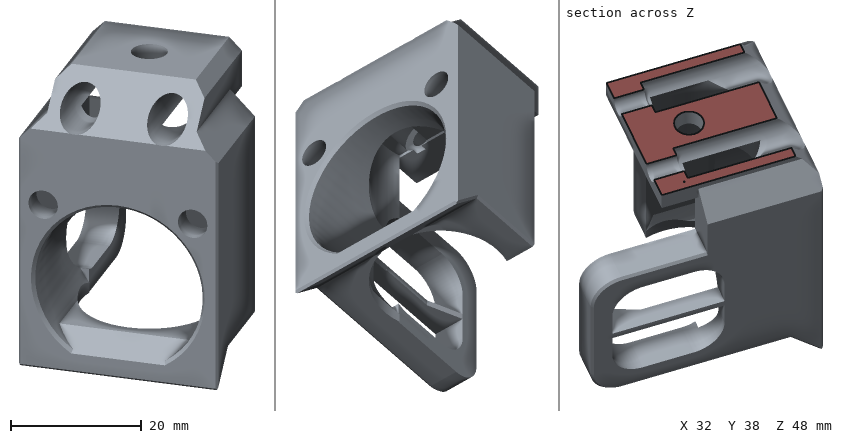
import cadquery as cq


width = 32.0
half_width = width / 2
height = 48
body_depth = 19.0
body_bottom = 5.0
shoulder_bottom = 38.0
edge_chamfer = 0.4

head_half_width = 12
head_depth = 25.0
head_bottom = 40.0
head_chamfer = 2.0
front_slope = height - head_bottom

arm_thickness = 5.35
arm_inner_x = -half_width + arm_thickness
arm_end = 38.0
arm_top = 31.0
corner_radius = 5.0

window_front = 16.25
window_margin = 3.4
window_back = arm_end - window_margin
window_bottom = body_bottom + window_margin
window_top = arm_top - window_margin
window_inner_x = -9.6
bar_height = 1.05
bar_bottom = (window_bottom + window_top - bar_height) / 2
bar_thickness = 3.0
bar_ramp_length = 5.75

opening_z = 15.0
opening_radius = 13.45
opening_chamfer = 0.55
lip_height = 3.2
floor_top = 6.5

thick_wall_front = 8.35
thick_wall_x = 11.75
thick_wall_slant_start = 17.4

cavity_radius = 11.0
cavity_y = 16.0
cavity_top = 40.5
top_hole_upper_radius = 5.65 / 2
top_hole_lower_radius = 4.0 / 2

screw_x = 7.0
screw_z = 43.0
screw_diameter = 3.25
counterbore_diameter = 6.25
counterbore_depth = 20.0

pocket_x = 12
pocket_z = 27.5
pocket_diameter = 4.7
pocket_depth = 4.0


def box(x_range, y_range, z_range):
    """Axis-aligned box between two limits on each axis."""
    size = [high - low for low, high in (x_range, y_range, z_range)]
    corner = (x_range[0], y_range[0], z_range[0])
    return cq.Workplane("XY").box(*size, centered=False).translate(corner)


def cylinder_y(x, z, radius, length):
    """Cylinder running from the front face toward +Y."""
    return cq.Workplane("XZ", origin=(x, 0, z)).circle(radius).extrude(-length)


def make_outer_shape():
    """Body, head and arm, with the chamfers on the outer side edges."""
    shoulder_top = shoulder_bottom + half_width - head_half_width
    front_outline = (
        cq.Workplane("XZ")
        .moveTo(-half_width, -edge_chamfer)
        .lineTo(half_width, -edge_chamfer)
        .lineTo(half_width, shoulder_bottom)
        .lineTo(head_half_width, shoulder_top)
        .lineTo(head_half_width, height - head_chamfer)
        .lineTo(head_half_width - head_chamfer, height)
        .lineTo(head_chamfer - head_half_width, height)
        .lineTo(-head_half_width, height - head_chamfer)
        .lineTo(-head_half_width, shoulder_top)
        .lineTo(-half_width, shoulder_bottom)
        .close()
        .extrude(-head_depth)
    )
    side_outline = (
        cq.Workplane("YZ")
        .moveTo(0, -edge_chamfer)
        .lineTo(edge_chamfer + body_bottom, body_bottom)
        .lineTo(body_depth, body_bottom)
        .lineTo(body_depth, head_bottom)
        .lineTo(head_depth, head_bottom)
        .lineTo(head_depth, height)
        .lineTo(front_slope, height)
        .lineTo(0, head_bottom)
        .close()
        .extrude(half_width, both=True)
    )
    overhang_sides = box((-half_width, half_width), (body_depth, head_depth), (0, height)).cut(
        box((-head_half_width, head_half_width), (body_depth, head_depth), (0, height))
    )
    arm = (
        box((-half_width, arm_inner_x), (body_depth, arm_end), (body_bottom, arm_top))
        .edges("|X and >Y")
        .fillet(corner_radius)
    )
    shape = front_outline.intersect(side_outline).cut(overhang_sides).union(arm).clean()

    def is_chamfered(edge):
        center = edge.Center()
        below_shoulder = center.z < arm_top + edge_chamfer
        on_plain_back = center.x > 0 and center.y > body_depth - edge_chamfer
        return below_shoulder and not on_plain_back

    blunted_tip = (
        cq.Workplane("YZ")
        .moveTo(0, edge_chamfer)
        .lineTo(2 * edge_chamfer, -edge_chamfer)
        .lineTo(0, -edge_chamfer)
        .close()
        .extrude(half_width, both=True)
    )
    side_edges = shape.faces("<X or >X").edges().filter(is_chamfered)
    return side_edges.chamfer(edge_chamfer).cut(blunted_tip)


def make_opening():
    """Round opening with a chamfered rim, sloped lip, flat floor and thick +X wall."""
    rim_radius = opening_radius + opening_chamfer
    opening = cylinder_y(0, opening_z, opening_radius, body_depth)
    rim = cq.Solid.makeCone(
        rim_radius, opening_radius, opening_chamfer, cq.Vector(0, 0, opening_z), cq.Vector(0, 1, 0)
    )
    floor = (
        cq.Workplane("YZ")
        .moveTo(0, 0)
        .lineTo(0, lip_height)
        .lineTo(floor_top - lip_height, floor_top)
        .lineTo(body_depth, floor_top)
        .lineTo(body_depth, 0)
        .close()
        .extrude(half_width, both=True)
    )
    wall_back_x = (cavity_radius**2 - (body_depth - cavity_y)**2)**0.5
    thick_wall = (
        cq.Workplane("XY")
        .moveTo(half_width, thick_wall_front + thick_wall_x - half_width)
        .lineTo(thick_wall_x, thick_wall_front)
        .lineTo(thick_wall_x, thick_wall_slant_start)
        .lineTo(wall_back_x, body_depth)
        .lineTo(half_width, body_depth)
        .close()
        .extrude(height)
    )
    return opening.union(rim).cut(floor).cut(thick_wall)


def make_window():
    """Rounded window through the arm, reaching inward to the cavity, less the cross bar."""
    window = (
        box((-half_width, window_inner_x), (window_front, window_back), (window_bottom, window_top))
        .edges("|X")
        .fillet(corner_radius)
    )
    bar_inner_x = -half_width + bar_thickness
    bar = (
        cq.Workplane("XY", origin=(0, 0, bar_bottom))
        .moveTo(-half_width, window_front)
        .lineTo(bar_inner_x, window_front)
        .lineTo(bar_inner_x, window_back - bar_ramp_length)
        .lineTo(arm_inner_x, window_back)
        .lineTo(-half_width, window_back)
        .close()
        .extrude(bar_height)
    )
    return window.cut(bar)


def make_cavity():
    """Vertical round cavity, open below, with a tapered hole up through the head."""
    cavity = cq.Workplane("XY", origin=(0, cavity_y, 0)).circle(cavity_radius).extrude(cavity_top)
    cavity = cavity.intersect(box((-half_width, half_width), (0, body_depth), (0, height)))
    top_hole = cq.Solid.makeCone(
        top_hole_lower_radius, top_hole_upper_radius, height - cavity_top, cq.Vector(0, cavity_y, cavity_top)
    )
    return cavity.union(top_hole)


result = make_outer_shape().cut(make_opening()).cut(make_window()).cut(make_cavity())

for side in (-1, 1):
    screw_hole = cylinder_y(side * screw_x, screw_z, screw_diameter / 2, head_depth)
    counterbore = cylinder_y(side * screw_x, screw_z, counterbore_diameter / 2, counterbore_depth)
    pocket = cylinder_y(side * pocket_x, pocket_z, pocket_diameter / 2, pocket_depth)
    result = result.cut(screw_hole).cut(counterbore).cut(pocket)